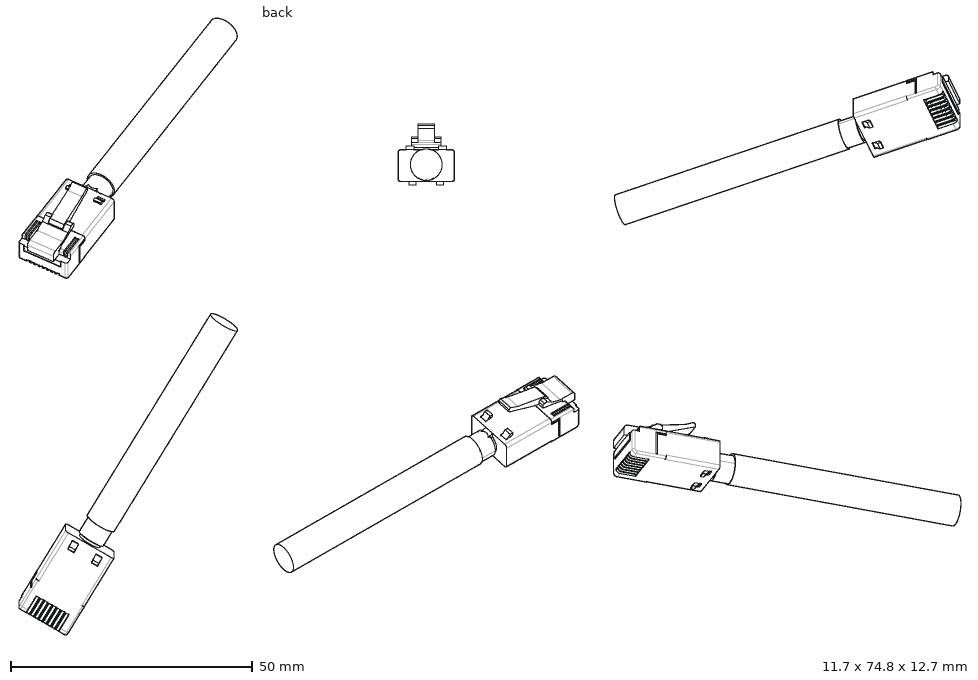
import cadquery as cq

TOTAL_LENGTH = 74.75

BODY_WIDTH = 11.65
BODY_TOP = 3.15
BODY_BOTTOM = -3.5
BODY_REAR = 20.25
SHELL_FRONT = 8.3
NOSE_FRONT = 0.9
SHELL_EDGE_RADIUS = 0.7
NOSE_EDGE_RADIUS = 0.45
NOSE_BOTTOM_RADIUS = 0.9
SHELL_STEP = 0.1

SEAM_WIDTH = 0.3
SEAM_DEPTH = 0.15
SEAM_FRONT = 6.05
SEAM_TOP = 2.2
SEAM_BOTTOM = BODY_BOTTOM + SHELL_EDGE_RADIUS

LEDGE_REAR = 2.4
LEDGE_Z = 1.7
PANEL_WIDTH = 8.8
PANEL_BOTTOM = 0.0
PANEL_RAISE = 0.2
PANEL_CHAMFER = 0.15

SLOT_WIDTH = 0.3
SLOT_CENTERS = (4.25, 4.9)
SLOT_REAR = 7.1

CONTACT_COUNT = 8
CONTACT_WIDTH = 0.75
CONTACT_ROW_WIDTH = 7.85
CONTACT_PITCH = (CONTACT_ROW_WIDTH - CONTACT_WIDTH) / (CONTACT_COUNT - 1)
CONTACT_DEPTH = 1.0
CONTACT_REAR = 5.2

LATCH_WIDTH = 6.2
TONGUE_WIDTH = 3.45
LATCH_TOP = 4.2
LATCH_ROOT_REAR = 3.15
LATCH_FRONT_RADIUS = 0.8
ARM_START = 3.9
ARM_BEND_TOP = (6.05, 4.85)
ARM_BEND_BOTTOM = (6.05, 4.2)
ROOT_CREASE = (3.2, 3.5)
WING_REAR = 8.45
WING_BOTTOM_REAR = 4.6
WING_TOP = 5.75
WING_FLAT_FRONT = 7.25
WING_BEVEL = 0.4
TONGUE_FRONT = (6.7, 6.0)
TONGUE_FRONT_FOOT = (6.05, 5.2)
TONGUE_TOP_BEND = (14.05, 7.6)
TONGUE_TIP_TOP = (15.9, 8.45)
TONGUE_REAR = 16.4
TONGUE_REAR_TOP = 8.15
TONGUE_REAR_BOTTOM = 7.5
TONGUE_BOTTOM_BEND = (9.8, 5.0)

BARB_RISE = 0.75
BARB_FRONT = 17.35
BARB_TIP_LENGTH = 0.7
BARB_UNDERCUT = 0.4
BARB_POCKET_DEPTH = 0.5
BARB_POCKET_REAR = 19.2
BARB_WIDTH_TOP = 1.7
BARB_WIDTH_BOTTOM = 1.5
BARB_X_TOP = 3.4
BARB_X_BOTTOM = 2.85

BARREL_Z = -0.15
COLLAR_RADIUS = 2.5
BARREL_RADIUS = 2.9
BARREL_HALF_OFFSET = 0.1
BARREL_FRONT = 20.9
CABLE_RADIUS = 3.3
CABLE_START = 24.7
GUSSET_WIDTH = 2.25
GUSSET_REAR = 22.0
GUSSET_REAR_Z = 2.4


def block(x_min, x_max, y_min, y_max, z_min, z_max):
    """Box between the given limits."""
    size = (x_max - x_min, y_max - y_min, z_max - z_min)
    return cq.Workplane("XY").box(*size, centered=False).translate((x_min, y_min, z_min))


def centered_block(width, y_min, y_max, z_min, z_max):
    """Box that is symmetric about X = 0."""
    return block(-width / 2, width / 2, y_min, y_max, z_min, z_max)


def side_profile(points, width, x_center=0.0):
    """Outline of (y, z) points extruded along X about x_center."""
    outline = cq.Workplane("YZ").polyline(points).close()
    return outline.extrude(width / 2, both=True).translate((x_center, 0, 0))


def cylinder(radius, y_min, y_max, z_center=0.0):
    """Cylinder along Y."""
    disc = cq.Workplane("XZ", origin=(0, y_min, z_center)).circle(radius)
    return disc.extrude(y_min - y_max)


def make_shell():
    shell = centered_block(BODY_WIDTH, SHELL_FRONT, BODY_REAR, BODY_BOTTOM, BODY_TOP)
    return shell.edges("|Y").fillet(SHELL_EDGE_RADIUS)


def make_nose():
    nose_top = BODY_TOP - SHELL_STEP
    nose = centered_block(BODY_WIDTH, NOSE_FRONT, SHELL_FRONT, BODY_BOTTOM, nose_top)
    nose = nose.cut(centered_block(BODY_WIDTH, NOSE_FRONT, LEDGE_REAR, LEDGE_Z, nose_top))
    nose = nose.faces("<Y").edges("<Z").fillet(NOSE_BOTTOM_RADIUS)
    nose = nose.faces("<Y").edges("|Z").fillet(NOSE_EDGE_RADIUS)
    nose = nose.faces(">Z").edges("|Y or <Y").fillet(NOSE_EDGE_RADIUS)
    panel = centered_block(
        PANEL_WIDTH, NOSE_FRONT - PANEL_RAISE, LEDGE_REAR, PANEL_BOTTOM, LEDGE_Z
    )
    panel = panel.faces("<Y").edges("<Z").chamfer(PANEL_CHAMFER)
    return nose.union(panel)


def make_nose_slots():
    slots = cq.Workplane()
    for side in (-1, 1):
        for center in SLOT_CENTERS:
            slot = centered_block(SLOT_WIDTH, NOSE_FRONT, SLOT_REAR, LEDGE_Z, BODY_TOP)
            slots = slots.add(slot.translate((side * center, 0, 0)))
    return slots.combine()


def make_contact_slots():
    slots = cq.Workplane()
    for index in range(CONTACT_COUNT):
        x = (index - (CONTACT_COUNT - 1) / 2) * CONTACT_PITCH
        slot = centered_block(
            CONTACT_WIDTH, NOSE_FRONT, CONTACT_REAR, BODY_BOTTOM, BODY_BOTTOM + CONTACT_DEPTH
        )
        slots = slots.add(slot.translate((x, 0, 0)))
    return slots.combine()


def make_side_seam(side):
    """L-shaped groove on one side, along the edge of the shell."""
    outer = side * BODY_WIDTH / 2
    inner = outer - side * SEAM_DEPTH
    x_min, x_max = sorted((outer, inner))
    upright = block(x_min, x_max, SEAM_FRONT, SEAM_FRONT + SEAM_WIDTH, SEAM_BOTTOM, SEAM_TOP)
    run = block(x_min, x_max, SEAM_FRONT, SHELL_FRONT, SEAM_TOP - SEAM_WIDTH, SEAM_TOP)
    return upright.union(run)


def make_latch():
    arm = side_profile(
        [
            (0, LEDGE_Z),
            (LEDGE_REAR, LEDGE_Z),
            (LEDGE_REAR, BODY_TOP - NOSE_EDGE_RADIUS),
            (LATCH_ROOT_REAR, BODY_TOP - NOSE_EDGE_RADIUS),
            ROOT_CREASE,
            ARM_BEND_BOTTOM,
            ARM_BEND_TOP,
            (ARM_START, LATCH_TOP),
            (0, LATCH_TOP),
        ],
        LATCH_WIDTH,
    )
    arm = arm.edges("|X").edges("<Y").edges(">Z").fillet(LATCH_FRONT_RADIUS)

    wing = side_profile(
        [
            ARM_BEND_BOTTOM,
            (WING_REAR, WING_BOTTOM_REAR),
            (WING_REAR, WING_TOP - WING_BEVEL),
            (WING_REAR - WING_BEVEL, WING_TOP),
            (WING_FLAT_FRONT, WING_TOP),
            ARM_BEND_TOP,
        ],
        LATCH_WIDTH,
    )

    tongue = side_profile(
        [
            ARM_BEND_BOTTOM,
            (WING_REAR, WING_BOTTOM_REAR),
            TONGUE_BOTTOM_BEND,
            (TONGUE_REAR, TONGUE_REAR_BOTTOM),
            (TONGUE_REAR, TONGUE_REAR_TOP),
            TONGUE_TIP_TOP,
            TONGUE_TOP_BEND,
            TONGUE_FRONT,
            TONGUE_FRONT_FOOT,
            ARM_BEND_TOP,
        ],
        TONGUE_WIDTH,
    )
    return arm.union(wing).union(tongue)


def make_barb_pocket(x, surface_z, outward, width):
    bottom = surface_z - outward * BARB_POCKET_DEPTH
    z_min, z_max = sorted((surface_z, bottom))
    half = width / 2
    return block(x - half, x + half, BARB_FRONT, BARB_POCKET_REAR, z_min, z_max)


def make_barb(x, surface_z, outward, width):
    """Ramp that rises forward out of its pocket to an undercut tip."""
    root = surface_z - outward * BARB_POCKET_DEPTH
    tip = surface_z + outward * BARB_RISE
    tip_rear = BARB_FRONT + BARB_TIP_LENGTH
    points = [
        (BARB_POCKET_REAR, root),
        (tip_rear, tip),
        (BARB_FRONT, tip),
        (BARB_FRONT, surface_z + outward * BARB_UNDERCUT),
        (BARB_FRONT + BARB_UNDERCUT, surface_z),
        (BARB_FRONT, surface_z),
        (BARB_FRONT, root),
    ]
    return side_profile(points, width, x)


def make_barrel():
    collar = cylinder(COLLAR_RADIUS, BODY_REAR, BARREL_FRONT, BARREL_Z)
    upper = cylinder(BARREL_RADIUS, BARREL_FRONT, CABLE_START, BARREL_Z + BARREL_HALF_OFFSET)
    lower = cylinder(BARREL_RADIUS, BARREL_FRONT, CABLE_START, BARREL_Z - BARREL_HALF_OFFSET)
    gusset = side_profile(
        [
            (BODY_REAR, BARREL_Z),
            (BODY_REAR, BODY_TOP),
            (GUSSET_REAR, GUSSET_REAR_Z),
            (GUSSET_REAR, BARREL_Z),
        ],
        GUSSET_WIDTH,
    )
    return collar.union(upper).union(lower).union(gusset)


def make_plug():
    plug = make_shell().union(make_nose())
    plug = plug.cut(make_nose_slots()).cut(make_contact_slots())
    plug = plug.union(make_latch()).union(make_barrel())
    for side in (-1, 1):
        plug = plug.cut(make_side_seam(side))
        barbs = (
            (side * BARB_X_TOP, BODY_TOP, 1, BARB_WIDTH_TOP),
            (side * BARB_X_BOTTOM, BODY_BOTTOM, -1, BARB_WIDTH_BOTTOM),
        )
        for barb in barbs:
            plug = plug.cut(make_barb_pocket(*barb)).union(make_barb(*barb))
    return plug


def make_cable():
    return cylinder(CABLE_RADIUS, CABLE_START, TOTAL_LENGTH)


plug = make_plug()
cable = make_cable()
result = cq.Compound.makeCompound([plug.val(), cable.val()])